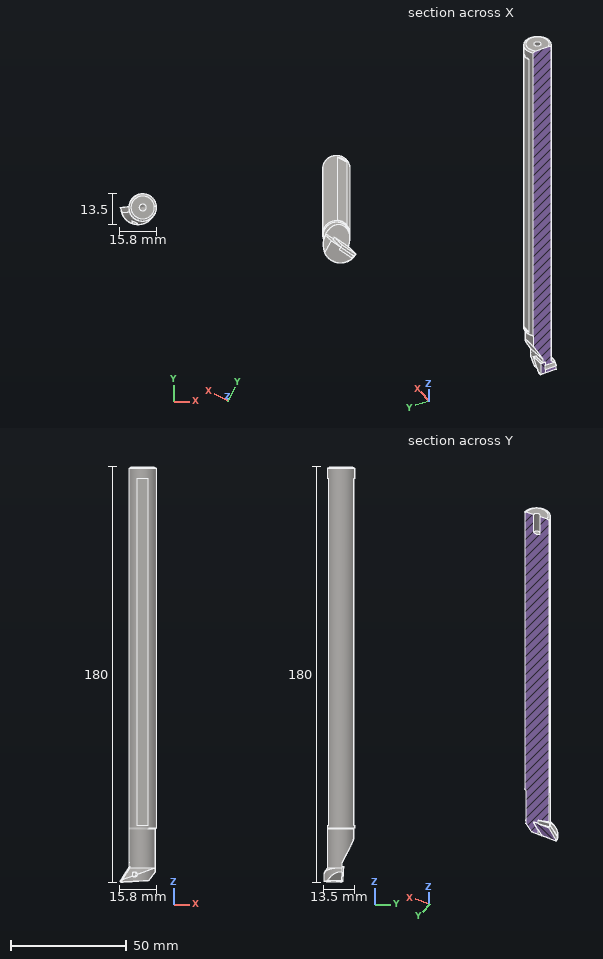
import cadquery as cq
import math


def tan_deg(angle):
    return math.tan(math.radians(angle))


total_length = 180.0
shank_radius = 6.0
flat_distance = 5.5
flat_bottom = 24.7
flat_top = 175.0
end_chamfer_width = 1.0
end_chamfer_angle = 30.0
end_chamfer_height = end_chamfer_width * tan_deg(end_chamfer_angle)
end_hole_diameter = 3.0
end_hole_depth = 10.0
drill_point_angle = 118.0

neck_radius = 5.75
neck_offset = neck_radius - shank_radius
neck_top = 23.2
collar_bottom = 23.6
neck_bottom = 6.2

flare_angle = 33.0
flare_growth = neck_bottom * tan_deg(flare_angle)
head_radius = 7.5
head_center_x = -2.0
heel_bottom = (2.6, 0.7)
heel_top = (5.7, 4.8)

insert_edge_length = 7.75
insert_corner_angle = 55.0
insert_thickness = 2.38
insert_relief_angle = 7.0
insert_nose_radius = 0.4
insert_tip_x = -9.75
insert_tilt = 6.0
insert_lead_angle = 3.0

flute_floor_depth = 1.15
flute_floor_top = 8.5
flute_ramp_angle = 28.5

screw_hole_diameter = 2.1

oversize = 30.0

tilt = math.radians(insert_tilt)
insert_plane = cq.Plane(
    origin=(insert_tip_x, 0, 0),
    xDir=(math.cos(tilt), math.sin(tilt), 0),
    normal=(math.sin(tilt), -math.cos(tilt), 0),
)

side_angle = insert_lead_angle + insert_corner_angle

half_corner = math.radians(insert_corner_angle / 2)
bisector = math.radians(insert_lead_angle + insert_corner_angle / 2)
nose_setback = insert_nose_radius / math.sin(half_corner)
sharp_tip = (
    insert_nose_radius - nose_setback * math.cos(bisector),
    insert_nose_radius - nose_setback * math.sin(bisector),
)
half_diagonal = insert_edge_length * math.cos(half_corner)
insert_center = (
    sharp_tip[0] + half_diagonal * math.cos(bisector),
    sharp_tip[1] + half_diagonal * math.sin(bisector),
)


def along_side(start, angle, distance):
    """Point at a distance from start, along a direction in the insert frame."""
    direction = math.radians(angle)
    return (
        start[0] + distance * math.cos(direction),
        start[1] + distance * math.sin(direction),
    )


def make_insert():
    lower_corner = along_side(sharp_tip, insert_lead_angle, insert_edge_length)
    far_tip = along_side(lower_corner, side_angle, insert_edge_length)
    upper_corner = along_side(sharp_tip, side_angle, insert_edge_length)
    diamond = cq.Workplane(insert_plane).polyline([sharp_tip, lower_corner, far_tip, upper_corner]).close()
    body = diamond.extrude(insert_thickness, taper=insert_relief_angle)
    nose_point = insert_plane.toWorldCoords((*sharp_tip, insert_thickness / 2))
    nose_edge = cq.selectors.NearestToPointSelector(nose_point)
    return body.edges(nose_edge).fillet(insert_nose_radius)


def make_shank():
    shank = cq.Workplane("XY").workplane(offset=collar_bottom).circle(shank_radius)
    shank = shank.extrude(total_length - collar_bottom)
    shank = shank.faces(">Z").chamfer(end_chamfer_height, end_chamfer_width)
    flat_length = flat_top - flat_bottom
    for side in (-1, 1):
        slab = cq.Workplane("XY").box(oversize, oversize, flat_length, centered=(True, True, False))
        shank = shank.cut(slab.translate((0, side * (flat_distance + oversize / 2), flat_bottom)))
    return shank


def make_end_hole():
    radius = end_hole_diameter / 2
    point_height = radius / tan_deg(drill_point_angle / 2)
    hole_bottom = total_length - end_hole_depth
    profile = cq.Workplane("XZ").polyline([
        (0, total_length),
        (radius, total_length),
        (radius, hole_bottom),
        (0, hole_bottom - point_height),
    ]).close()
    return profile.revolve(360, (0, 0, 0), (0, 1, 0))


def make_collar_taper():
    taper = cq.Workplane("XY").workplane(offset=collar_bottom).circle(shank_radius)
    taper = taper.workplane(offset=neck_top - collar_bottom).center(neck_offset, neck_offset)
    return taper.circle(neck_radius).loft()


def make_neck():
    neck = cq.Workplane("XY").workplane(offset=neck_bottom).center(neck_offset, neck_offset)
    return neck.circle(neck_radius).extrude(neck_top - neck_bottom)


def make_head():
    flare = cq.Workplane("XY").workplane(offset=neck_bottom).center(neck_offset, neck_offset)
    flare = flare.circle(neck_radius).workplane(offset=-neck_bottom)
    flare = flare.circle(neck_radius + flare_growth).loft()
    trim = cq.Workplane("XY").center(head_center_x, 0).circle(head_radius).extrude(neck_bottom)
    underside_drop = (heel_bottom[0] - insert_tip_x) * tan_deg(insert_lead_angle)
    underside = cq.Workplane("XZ").polyline([
        (insert_tip_x, heel_bottom[1] - underside_drop),
        heel_bottom,
        heel_top,
        (heel_top[0], neck_bottom),
        (insert_tip_x, neck_bottom),
    ]).close().extrude(oversize, both=True)
    return flare.intersect(trim).intersect(underside)


def make_flute():
    floor = -insert_tip_x * math.sin(tilt) - flute_floor_depth
    ramp_rise = oversize / tan_deg(flute_ramp_angle)
    profile = cq.Workplane("YZ").polyline([
        (floor, -oversize),
        (floor, flute_floor_top),
        (floor + oversize, flute_floor_top + ramp_rise),
        (floor + oversize, -oversize),
    ]).close()
    return profile.extrude(oversize, both=True).rotate((0, 0, 0), (0, 0, 1), insert_tilt)


def make_flank_relief():
    """Cut that brings the head flush with the insert's leading flank."""
    upper_end = along_side(sharp_tip, side_angle, insert_edge_length)
    lower_end = along_side(sharp_tip, side_angle, -insert_edge_length)
    outline = cq.Workplane(insert_plane).polyline([
        upper_end,
        lower_end,
        (lower_end[0] - oversize, lower_end[1]),
        (upper_end[0] - oversize, upper_end[1]),
    ]).close()
    return outline.extrude(insert_thickness, taper=-insert_relief_angle)


def make_screw_hole():
    hole = cq.Workplane(insert_plane).center(*insert_center)
    return hole.circle(screw_hole_diameter / 2).extrude(oversize)


insert = make_insert()

bar = make_shank().union(make_collar_taper()).union(make_neck()).union(make_head())
bar = bar.cut(make_end_hole()).cut(make_flute()).cut(make_flank_relief())
bar = bar.cut(make_screw_hole()).cut(insert)

result = cq.Compound.makeCompound([*bar.solids().vals(), *insert.solids().vals()])